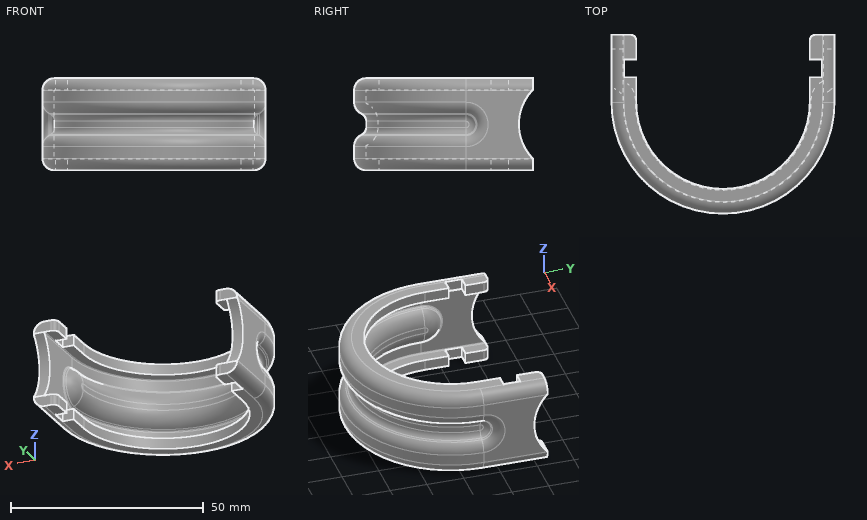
import cadquery as cq
import math

outer_radius = 29.0
height = 24.0
leg_length = 17.5
wall = 3.0
inside_corner_radius = 0.25
flange_reach = 6.5
edge_radius = 3.2

groove_floor_half_width = 0.84
groove_floor_radius = 2.05
groove_lip_radius = 3.35
groove_flank_length = 0.5
groove_flank_angle = math.radians(60)
cut_clearance = 0.6
HALF_TURN = 180

slot_depth_limit = 3.4
slot_start = 6.5
slot_end = 11.0
flange_corner_radius = 1.55
notch_depth = 3.65

inner_radius = outer_radius - wall
flange_radius = outer_radius - flange_reach
cavity_height = height - 2 * wall
groove_half_height = (
    groove_floor_half_width
    + (groove_lip_radius + groove_floor_radius) * math.sin(groove_flank_angle)
    + groove_flank_length * math.cos(groove_flank_angle)
)


def u_solid(radius, solid_height, rounding):
    """Solid U-shaped block with its outer top and bottom edges rounded."""
    block = (
        cq.Workplane("XY")
        .workplane(offset=-solid_height / 2)
        .moveTo(radius, leg_length)
        .lineTo(radius, 0)
        .threePointArc((0, -radius), (-radius, 0))
        .lineTo(-radius, leg_length)
        .close()
        .extrude(solid_height)
    )
    if rounding:
        block = block.faces("|Z").edges("not >Y").fillet(rounding)
    return block


def make_channel():
    """U-shaped wall with a flange along its top and bottom edges."""
    body = u_solid(outer_radius, height, edge_radius)
    cavity = u_solid(inner_radius, cavity_height, inside_corner_radius)
    opening = u_solid(flange_radius, height, 0)
    return body.cut(cavity).cut(opening)


def groove_profile(start_x, lip_radius, floor_radius, back_x):
    """Upper half of a groove section in XZ, from the lip down to z = 0."""

    def lip_point(angle):
        return (
            start_x - lip_radius * (1 - math.cos(angle)),
            groove_half_height - lip_radius * math.sin(angle),
        )

    lip_x, lip_z = lip_point(groove_flank_angle)
    sine = math.sin(groove_flank_angle)
    cosine = math.cos(groove_flank_angle)
    foot_x = lip_x - groove_flank_length * sine
    foot_z = lip_z - groove_flank_length * cosine
    center_x = foot_x + floor_radius * cosine
    center_z = foot_z - floor_radius * sine

    def floor_point(angle):
        return (
            center_x - floor_radius * math.cos(angle),
            center_z + floor_radius * math.sin(angle),
        )

    profile = cq.Workplane("XZ").moveTo(back_x, 0).lineTo(back_x, groove_half_height)
    profile = profile.lineTo(start_x, groove_half_height)
    profile = profile.threePointArc(lip_point(groove_flank_angle / 2), (lip_x, lip_z))
    return (
        profile.lineTo(foot_x, foot_z)
        .threePointArc(floor_point(groove_flank_angle / 2), floor_point(0))
        .lineTo(center_x - floor_radius, 0)
        .close()
    )


def groove_solid(start_x, lip_radius, floor_radius, back_x):
    """Groove section swept around the bend, with a round end on each leg."""

    def profile():
        return groove_profile(start_x, lip_radius, floor_radius, back_x)

    upper_bend = profile().revolve(HALF_TURN, (0, 0), (0, -1))
    right_end = profile().revolve(HALF_TURN, (0, 0), (-1, 0))
    left_end = right_end.mirror("YZ")
    return upper_bend.union(upper_bend.mirror("XY")).union(right_end).union(left_end)


def add_groove(channel):
    bulge = groove_solid(
        inner_radius, groove_lip_radius - wall, groove_floor_radius + wall, outer_radius - wall / 2
    )
    groove = groove_solid(
        outer_radius, groove_lip_radius, groove_floor_radius, outer_radius + cut_clearance
    )
    return channel.union(bulge).cut(groove)


def cut_flange_slots(channel):
    """Gap across both flanges of each leg, leaving a narrow ledge at the wall."""
    slots = (
        cq.Workplane("XY")
        .center(0, leg_length - (slot_start + slot_end) / 2)
        .rect(2 * (outer_radius - slot_depth_limit), slot_end - slot_start)
        .extrude(height, both=True)
    )
    return channel.cut(slots)


def round_flange_corners(channel):
    """Round the inner corner at the tip of every flange."""
    half_mouth = flange_radius + flange_corner_radius
    tips = cq.Workplane("XY").rect(2 * half_mouth, 2 * flange_corner_radius)
    tips = tips.extrude(height, both=True).translate((0, leg_length, 0))
    for side in (-1, 1):
        corner = (
            cq.Workplane("XY")
            .center(side * half_mouth, leg_length - flange_corner_radius)
            .circle(flange_corner_radius)
            .extrude(height, both=True)
        )
        tips = tips.cut(corner)
    return channel.cut(tips)


def notch_leg_ends(channel):
    """Shallow arc across the wall at the tip of both legs."""
    half_width = cavity_height / 2
    notch = (
        cq.Workplane("YZ")
        .moveTo(leg_length, half_width)
        .threePointArc((leg_length - notch_depth, 0), (leg_length, -half_width))
        .close()
        .extrude(outer_radius, both=True)
    )
    return channel.cut(notch)


channel = add_groove(make_channel())
channel = cut_flange_slots(channel)
channel = round_flange_corners(channel)
result = notch_leg_ends(channel)